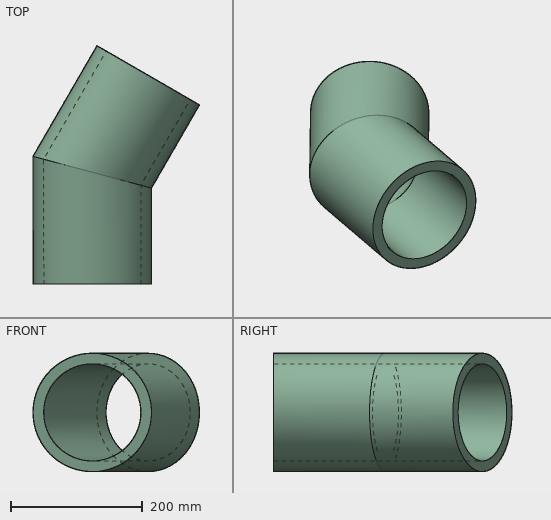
import cadquery as cq
import math

overall_length = 362.0
outer_diameter = 180.0
wall_thickness = 16.3
bend_angle = math.radians(30)

outer_radius = outer_diameter / 2
inner_radius = outer_radius - wall_thickness

end_face_rise = outer_radius * math.sin(bend_angle)
leg_length = (overall_length - end_face_rise) / (1 + math.cos(bend_angle))

bend_point = (0, leg_length)
end_point = (
    leg_length * math.sin(bend_angle),
    leg_length * (1 + math.cos(bend_angle)),
)
centreline = cq.Workplane("XY").polyline([(0, 0), bend_point, end_point])

result = (
    cq.Workplane("XZ")
    .circle(outer_radius)
    .circle(inner_radius)
    .sweep(centreline, transition="right")
)